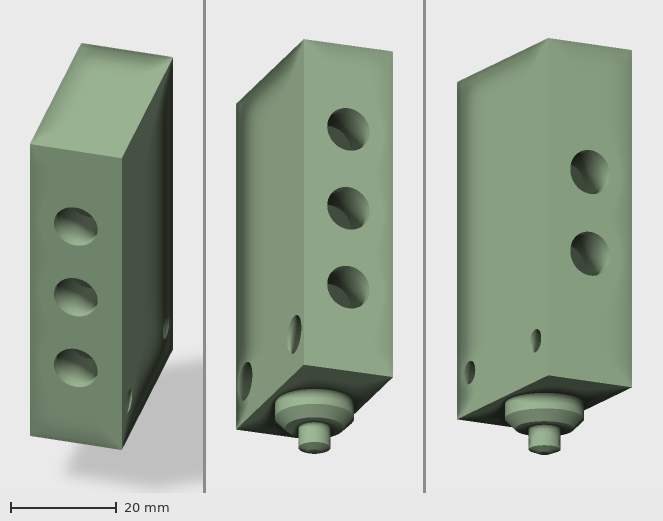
import cadquery as cq

body_width = 18.0
body_depth = 36.0
overall_height = 75.8
plunger_reach = 9.8
body_height = overall_height - plunger_reach

collar_diameter = 15.0
collar_height = 5.0
collar_chamfer = 2.0
plunger_diameter = 6.05
tip_diameter = 2.4
tip_height = 0.75

port_diameter = 8.55
port_depth = 10.0
port_pitch = 16.0
lowest_port_height = 17.0
front_port_count = 3
back_port_count = front_port_count - 1

mount_hole_diameter = 4.5
counterbore_diameter = 7.4
counterbore_depth = 4.25
mount_hole_spacing = 26.0
mount_hole_height = 7.95


def make_body():
    return cq.Workplane("XY").box(body_width, body_depth, body_height, centered=(True, True, False))


def make_plunger():
    """Chamfered collar and cone-tipped plunger, revolved about the Z axis."""
    collar_radius = collar_diameter / 2
    plunger_radius = plunger_diameter / 2
    tip_radius = tip_diameter / 2
    half_profile = [
        (0, 0),
        (collar_radius, 0),
        (collar_radius, -(collar_height - collar_chamfer)),
        (collar_radius - collar_chamfer, -collar_height),
        (plunger_radius, -collar_height),
        (plunger_radius, -(plunger_reach - tip_height)),
        (tip_radius, -plunger_reach),
        (0, -plunger_reach),
    ]
    return cq.Workplane("XZ").polyline(half_profile).close().revolve(360, (0, 0), (0, 1))


def cylinder(diameter, length, start, direction):
    solid = cq.Solid.makeCylinder(diameter / 2, length, cq.Vector(*start), cq.Vector(*direction))
    return cq.Workplane(solid)


def cut_ports(part):
    """Front row of ports, and a back row set midway between them in height."""
    face_y = body_depth / 2
    for index in range(front_port_count):
        height = lowest_port_height + index * port_pitch
        part = part.cut(cylinder(port_diameter, port_depth, (0, -face_y, height), (0, 1, 0)))
    for index in range(back_port_count):
        height = lowest_port_height + (index + 0.5) * port_pitch
        part = part.cut(cylinder(port_diameter, port_depth, (0, face_y, height), (0, -1, 0)))
    return part


def cut_mounting_holes(part):
    """Two through holes, counterbored from the -X side."""
    face_x = -body_width / 2
    for side in (-1, 1):
        start = (face_x, side * mount_hole_spacing / 2, mount_hole_height)
        part = part.cut(cylinder(mount_hole_diameter, body_width, start, (1, 0, 0)))
        part = part.cut(cylinder(counterbore_diameter, counterbore_depth, start, (1, 0, 0)))
    return part


result = make_body().union(make_plunger())
result = cut_ports(result)
result = cut_mounting_holes(result)